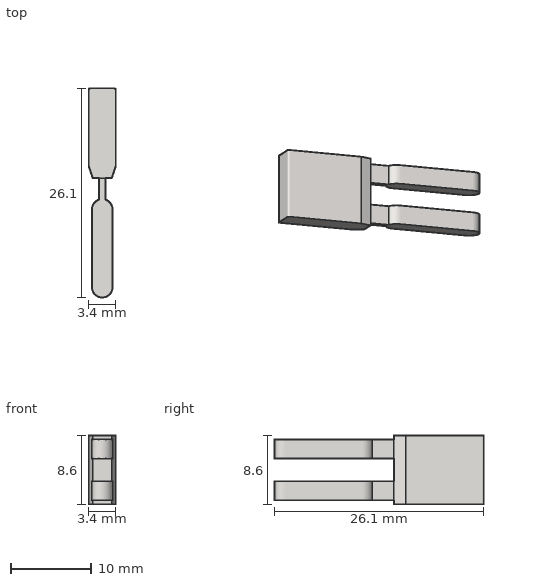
import cadquery as cq
import math

body_width = 3.4
body_length = 11.25
body_height = 8.6
nose_width = 2.4
nose_taper_length = 1.5
rear_fillet_radius = 0.25

pin_width = 2.6
pin_thickness = 2.4
pin_length = 14.9
pin_spacing = 5.2
neck_width = 0.87
shoulder_center_distance = 3.9

pin_radius = pin_width / 2
tip_center_y = -(pin_length - pin_radius)
shoulder_center_y = -shoulder_center_distance


def make_body():
    """Block with a tapered nose face at Y = 0 and rounded rear edges."""
    half_width = body_width / 2
    half_nose = nose_width / 2
    outline = [
        (-half_nose, 0),
        (half_nose, 0),
        (half_width, nose_taper_length),
        (half_width, body_length),
        (-half_width, body_length),
        (-half_width, nose_taper_length),
    ]
    block = cq.Workplane("XY").polyline(outline).close().extrude(body_height / 2, both=True)
    return block.faces(">Y").edges("|Z").fillet(rear_fillet_radius)


def make_pin(center_z):
    """Flat pin: a narrow neck that widens through round shoulders to a blade with a round tip."""
    half_neck = neck_width / 2
    neck_end_y = shoulder_center_y + math.sqrt(pin_radius**2 - half_neck**2)

    shoulder_mid_angle = math.acos(half_neck / pin_radius) / 2
    shoulder_mid_x = pin_radius * math.cos(shoulder_mid_angle)
    shoulder_mid_y = shoulder_center_y + pin_radius * math.sin(shoulder_mid_angle)

    return (
        cq.Workplane("XY", origin=(0, 0, center_z))
        .moveTo(-half_neck, 0)
        .lineTo(-half_neck, neck_end_y)
        .threePointArc((-shoulder_mid_x, shoulder_mid_y), (-pin_radius, shoulder_center_y))
        .lineTo(-pin_radius, tip_center_y)
        .threePointArc((0, -pin_length), (pin_radius, tip_center_y))
        .lineTo(pin_radius, shoulder_center_y)
        .threePointArc((shoulder_mid_x, shoulder_mid_y), (half_neck, neck_end_y))
        .lineTo(half_neck, 0)
        .close()
        .extrude(pin_thickness / 2, both=True)
    )


result = make_body()
for side in (-1, 1):
    result = result.union(make_pin(side * pin_spacing / 2))